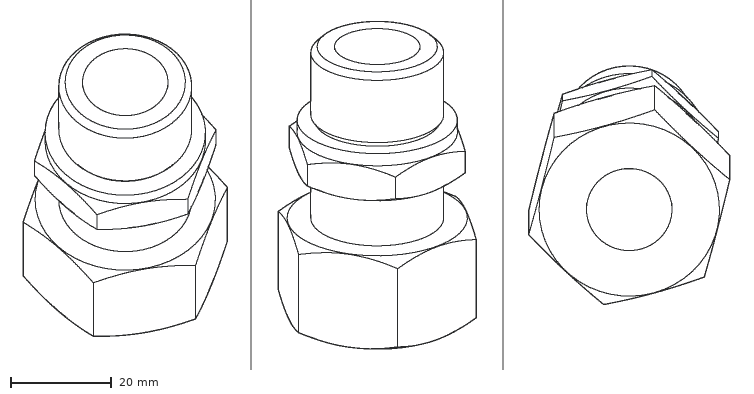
import cadquery as cq
import math

total_height = 58.0
nut_height = 20.5
body_hex_bottom = 31.6
body_hex_top = 39.25
collar_top = 41.95

nut_across_flats = 36.0
nut_chamfer_diameter = 35.85
body_hex_across_flats = 32.0
collar_diameter = 31.9
hex_chamfer_angle = 30.0

stud_diameter = 26.45
bore_diameter = 17.0
tip_diameter = 23.9
undercut_diameter = 24.9
undercut_height = 1.15


def chamfered_hex(across_flats, face_diameter, bottom, top):
    """Hexagonal prism with its corners coned off down to a round face at both ends."""
    height = top - bottom
    corner_radius = across_flats / math.sqrt(3)
    face_radius = face_diameter / 2
    drop = (corner_radius - face_radius) * math.tan(math.radians(hex_chamfer_angle))
    prism = (
        cq.Workplane("XY")
        .polygon(6, 2 * corner_radius)
        .extrude(height)
        .rotate((0, 0, 0), (0, 0, 1), 30)
    )
    envelope = (
        cq.Workplane("XZ")
        .moveTo(0, 0)
        .lineTo(face_radius, 0)
        .lineTo(corner_radius, drop)
        .lineTo(corner_radius, height - drop)
        .lineTo(face_radius, height)
        .lineTo(0, height)
        .close()
        .revolve(360, (0, 0, 0), (0, 1, 0))
    )
    return prism.intersect(envelope).translate((0, 0, bottom))


def turned_body():
    """Round body: shank, sealing collar, tapered undercut and chamfered stud."""
    stud_radius = stud_diameter / 2
    collar_radius = collar_diameter / 2
    tip_radius = tip_diameter / 2
    tip_chamfer = stud_radius - tip_radius
    return (
        cq.Workplane("XZ")
        .moveTo(0, 0)
        .lineTo(stud_radius, 0)
        .lineTo(stud_radius, body_hex_bottom)
        .lineTo(collar_radius, body_hex_bottom)
        .lineTo(collar_radius, collar_top)
        .lineTo(undercut_diameter / 2, collar_top)
        .lineTo(stud_radius, collar_top + undercut_height)
        .lineTo(stud_radius, total_height - tip_chamfer)
        .lineTo(tip_radius, total_height)
        .lineTo(0, total_height)
        .close()
        .revolve(360, (0, 0, 0), (0, 1, 0))
    )


nut = chamfered_hex(nut_across_flats, nut_chamfer_diameter, 0, nut_height)
body_hex = chamfered_hex(
    body_hex_across_flats, collar_diameter, body_hex_bottom, body_hex_top
)
bore = cq.Workplane("XY").circle(bore_diameter / 2).extrude(total_height)

result = turned_body().union(nut).union(body_hex).cut(bore)